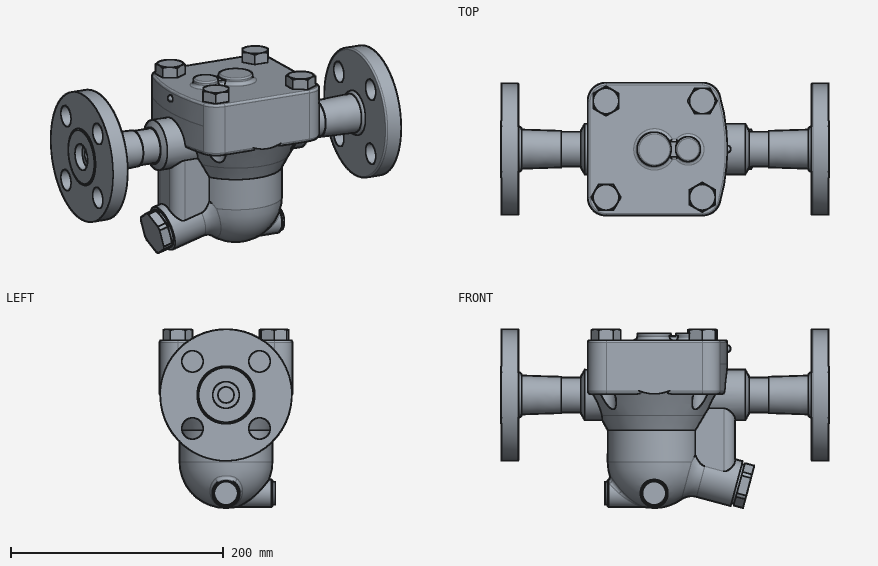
import cadquery as cq
import math


half_length = 154.5
raised_face_height = 0.5
raised_face_tip_dia = 51.3
raised_face_base_dia = 54.5
flange_dia = 124.0
flange_thickness = 16.5
flange_fillet = 1.5
flange_hole_dia = 20.0
flange_hole_offset = 31.5
neck_fillet = 2.8
neck_large_dia = 37.0
neck_small_dia = 34.5
neck_end = 97.3
pipe_dia = 33.0
collar_dia = 48.0
collar_nose_dia = 35.2
collar_nose_end = 79.0
collar_chamfer_end = 75.5
bore_dia = 25.0
bore_depth = 7.7
inner_bore_dia = 15.0
inner_bore_depth = 61.8

hex_half_pitch = 30.0

bolt_spacing = 90.5
bolt_offset = bolt_spacing / 2
bolt_across_flats = 24.0
bolt_top = flange_dia / 2
bolt_relief_dia = 19.2
bolt_relief_depth = 24.7
bolt_chamfer_angle = 30.0

body_x = -10.2
block_width = 125.0
block_half = block_width / 2
block_bottom = 0.5
block_top = 51.5
block_corner_radius = block_half - bolt_offset
bulge_reach = 69.0
bulge_start_angle = 18.0
bulge_draft = 1.2
seam_z = 29.5
block_top_fillet = 2.2
block_bottom_fillet = 3.5

boss_top = 58.0
boss_edge_fillet = 1.5
main_boss_dia = 32.0
main_boss_base_fillet = 3.5
side_boss_dia = 23.5
side_boss_base_fillet = 3.0
side_boss_offset = 31.8
link_width = 14.2
link_base_fillet = 2.5
link_top = 55.5
pin_radius = 3.5
pin_reach = 72.0
pin_z = 43.5

bowl_radius = 44.0
overall_height = 168.5
bowl_bottom = bolt_top - overall_height
bowl_center_z = bowl_bottom + bowl_radius
cone_bottom = -33.0
cone_break_z = -19.2
cone_break_radius = 51.3
cone_top_radius = 64.3

rib_end = 65.8
rib_width = 40.8
rib_corner_radius = 10.8
rib_bottom = -74.2

plug_tilt = 15.0
plug_boss_dia = 44.0
plug_boss_length = 80.3
plug_boss_fillet = 17.0
washer_dia = 38.0
washer_end = 82.8
plug_hex_across_flats = 37.7
plug_hex_dia = 41.5
plug_hex_end = 92.0

drain_z = -92.5
drain_dia = 26.0
drain_length = 44.0
drain_chamfer = 1.2
drain_plug_dia = 22.0
drain_plug_end = 46.5
drain_blend = 3.7


def cylinder_x(dia, length):
    """Cylinder from the origin along +X."""
    return cq.Workplane("YZ").circle(dia / 2).extrude(length)


def corner_dia(across_flats):
    """Diameter through the corners of a hexagon."""
    return across_flats / math.cos(math.pi / 6)


def hex_head(across_flats, height, turn):
    """Hexagon prism from the origin along +Z, its upper corners cut by a cone."""
    prism = cq.Workplane("XY").polygon(6, corner_dia(across_flats)).extrude(height)
    cone_base = across_flats / 2 + height / math.tan(math.radians(bolt_chamfer_angle))
    cone_half = [(0, 0), (cone_base, 0), (across_flats / 2, height), (0, height)]
    cone = cq.Workplane("XZ").polyline(cone_half).close().revolve(360, (0, 0), (0, 1))
    return prism.intersect(cone).rotate((0, 0, 0), (0, 0, 1), turn)


def pipe_end():
    """Flange, weld neck and collar on the +X side."""
    face = half_length - raised_face_height
    back = face - flange_thickness
    neck_start = back - neck_fillet
    neck_r = neck_large_dia / 2
    flange_r = flange_dia / 2
    profile = (
        cq.Workplane("XY")
        .moveTo(0, 0)
        .lineTo(0, collar_dia / 2)
        .lineTo(collar_chamfer_end, collar_dia / 2)
        .lineTo(collar_nose_end, collar_nose_dia / 2)
        .lineTo(collar_nose_end, pipe_dia / 2)
        .lineTo(neck_end, pipe_dia / 2)
        .lineTo(neck_end, neck_small_dia / 2)
        .lineTo(neck_start, neck_r)
        .radiusArc((back, neck_r + neck_fillet), neck_fillet)
        .lineTo(back, flange_r - flange_fillet)
        .radiusArc((back + flange_fillet, flange_r), flange_fillet)
        .lineTo(face, flange_r)
        .lineTo(face, raised_face_base_dia / 2)
        .lineTo(half_length, raised_face_tip_dia / 2)
        .lineTo(half_length, 0)
        .close()
    )
    end = profile.revolve(360, (0, 0), (1, 0))
    spread = 2 * flange_hole_offset
    holes = (
        cq.Workplane("YZ", origin=(back, 0, 0))
        .rect(spread, spread, forConstruction=True)
        .vertices()
        .circle(flange_hole_dia / 2)
        .extrude(flange_thickness)
    )
    bore = cylinder_x(bore_dia, bore_depth).translate((half_length - bore_depth, 0, 0))
    inner = cylinder_x(inner_bore_dia, inner_bore_depth).translate((half_length - inner_bore_depth, 0, 0))
    return end.cut(holes).cut(bore).cut(inner)


def block_outline(sheet, reach):
    """Square outline with rounded corners and a +X side that bulges out to the given reach."""
    start = math.radians(bulge_start_angle)
    diagonal = bolt_offset + block_corner_radius * math.sqrt(0.5)
    corner_mid = (math.pi / 2 + start) / 2
    corner_mid_x = bolt_offset + block_corner_radius * math.cos(corner_mid)
    corner_mid_y = bolt_offset + block_corner_radius * math.sin(corner_mid)
    bulge_x = bolt_offset + block_corner_radius * math.cos(start)
    bulge_y = bolt_offset + block_corner_radius * math.sin(start)
    return (
        sheet.moveTo(-bolt_offset, -block_half)
        .lineTo(bolt_offset, -block_half)
        .threePointArc((corner_mid_x, -corner_mid_y), (bulge_x, -bulge_y))
        .threePointArc((reach, 0), (bulge_x, bulge_y))
        .threePointArc((corner_mid_x, corner_mid_y), (bolt_offset, block_half))
        .lineTo(-bolt_offset, block_half)
        .threePointArc((-diagonal, diagonal), (-block_half, bolt_offset))
        .lineTo(-block_half, -bolt_offset)
        .threePointArc((-diagonal, -diagonal), (-bolt_offset, -block_half))
        .close()
    )


def cover_block():
    """Straight cover over a body flange whose bulge narrows downward from the seam."""
    cover = block_outline(cq.Workplane("XY", origin=(0, 0, seam_z)), bulge_reach)
    cover = cover.extrude(block_top - seam_z)
    lower = block_outline(cq.Workplane("XY", origin=(0, 0, block_bottom)), bulge_reach - bulge_draft)
    lower = block_outline(lower.workplane(offset=seam_z - block_bottom), bulge_reach).loft(ruled=True)
    cover = cover.faces(">Z").edges().fillet(block_top_fillet)
    lower = lower.faces("<Z").edges().fillet(block_bottom_fillet)
    return cover.union(lower)


def round_boss(dia, base_fillet):
    """Round boss with a rounded rim and a flared foot, rooted in the cover down to the seam."""
    r = dia / 2
    profile = (
        cq.Workplane("XZ")
        .moveTo(0, seam_z)
        .lineTo(r + base_fillet, seam_z)
        .lineTo(r + base_fillet, block_top)
        .radiusArc((r, block_top + base_fillet), base_fillet)
        .lineTo(r, boss_top - boss_edge_fillet)
        .radiusArc((r - boss_edge_fillet, boss_top), -boss_edge_fillet)
        .lineTo(0, boss_top)
        .close()
    )
    return profile.revolve(360, (0, 0), (0, 1))


def cover_bosses():
    """Two round bosses joined by a low link."""
    main = round_boss(main_boss_dia, main_boss_base_fillet)
    side = round_boss(side_boss_dia, side_boss_base_fillet).translate((side_boss_offset, 0, 0))
    link = (
        cq.Workplane("XY", origin=(0, 0, block_top))
        .rect(side_boss_offset, link_width)
        .extrude(link_top - block_top)
        .translate((side_boss_offset / 2, 0, 0))
    )
    flare_width = link_width + 2 * link_base_fillet
    flare = (
        cq.Workplane("YZ")
        .moveTo(-flare_width / 2, block_top)
        .radiusArc((-link_width / 2, block_top + link_base_fillet), -link_base_fillet)
        .lineTo(link_width / 2, block_top + link_base_fillet)
        .radiusArc((flare_width / 2, block_top), -link_base_fillet)
        .close()
        .extrude(side_boss_offset)
    )
    return main.union(side).union(link).union(flare)


def bolt_places():
    """Offsets of the four bolts with the turn of each head, which alternates around the cover."""
    places = []
    for side_x in (-1, 1):
        for side_y in (-1, 1):
            turn = hex_half_pitch if side_x != side_y else 0
            places.append((side_x * bolt_offset, side_y * bolt_offset, turn))
    return places


def bowl():
    """Conical shoulder flush with the block, straight wall and round bottom, relieved under the bolts."""
    shape = (
        cq.Workplane("XZ")
        .moveTo(0, bowl_bottom)
        .radiusArc((bowl_radius, bowl_center_z), -bowl_radius)
        .lineTo(bowl_radius, cone_bottom)
        .lineTo(cone_break_radius, cone_break_z)
        .lineTo(cone_top_radius, block_bottom + block_bottom_fillet)
        .lineTo(0, block_bottom + block_bottom_fillet)
        .close()
        .revolve(360, (0, 0), (0, 1))
    )
    clip_height = block_bottom + block_bottom_fillet - bowl_bottom
    clip = cq.Workplane("XY", origin=(0, 0, bowl_bottom)).rect(2 * block_half, 2 * block_half)
    shape = shape.intersect(clip.extrude(clip_height))
    for x, y, _ in bolt_places():
        relief = cq.Workplane("XY", origin=(x, y, block_bottom)).circle(bolt_relief_dia / 2)
        shape = shape.cut(relief.extrude(-bolt_relief_depth))
    return shape


def drain(turn):
    """Capped drain boss, pointing along +X before it is turned about Z."""
    boss = cylinder_x(drain_dia, drain_length).faces(">X").chamfer(drain_chamfer)
    cap = cylinder_x(drain_plug_dia, drain_plug_end)
    return boss.union(cap).translate((0, 0, drain_z)).rotate((0, 0, 0), (0, 0, 1), turn)


def bowl_with_drains():
    """Bowl with two drains, the -X one blended into the bowl."""
    shape = bowl().union(drain(180))
    joint_zone = cq.selectors.BoxSelector(
        (-bowl_radius, -drain_dia, bowl_bottom), (0, drain_dia, bowl_center_z)
    )
    joint = shape.edges(joint_zone).edges("%BSPLINE")
    return joint.fillet(drain_blend).union(drain(-90))


def plug_boss():
    """Tilted boss that blends into the bowl, with its washer and a hex plug with turned corners."""
    r = plug_boss_dia / 2
    blend_to_axis = r + plug_boss_fillet
    blend_to_center = bowl_radius + plug_boss_fillet
    blend_end = math.sqrt(blend_to_center**2 - blend_to_axis**2)
    touch = bowl_radius / blend_to_center
    shape = (
        cq.Workplane("XY")
        .lineTo(0, touch * blend_to_axis)
        .lineTo(touch * blend_end, touch * blend_to_axis)
        .radiusArc((blend_end, r), -plug_boss_fillet)
        .lineTo(plug_boss_length, r)
        .lineTo(plug_boss_length, 0)
        .close()
        .revolve(360, (0, 0), (1, 0))
    )
    washer = cylinder_x(washer_dia, washer_end)
    hex_height = plug_hex_end - washer_end
    hexagon = cq.Workplane("YZ").polygon(6, corner_dia(plug_hex_across_flats)).extrude(hex_height)
    hexagon = hexagon.rotate((0, 0, 0), (1, 0, 0), hex_half_pitch)
    head = hexagon.intersect(cylinder_x(plug_hex_dia, hex_height)).translate((washer_end, 0, 0))
    shape = shape.union(washer).union(head)
    return shape.rotate((0, 0, 0), (0, 1, 0), plug_tilt).translate((0, 0, bowl_center_z))


def rib():
    """Upright rib between the outlet collar and the plug boss."""
    length = rib_end - body_x
    box = cq.Workplane("XY").box(length, rib_width, -rib_bottom, centered=(False, True, False))
    return box.edges("|Z and >X").fillet(rib_corner_radius).translate((0, 0, rib_bottom))


def body():
    """Everything that sits on the body axis, built around X = 0."""
    shape = bowl_with_drains().union(plug_boss()).union(rib())
    shape = shape.union(cover_block()).union(cover_bosses())
    for x, y, turn in bolt_places():
        head = hex_head(bolt_across_flats, bolt_top - block_top, turn)
        shape = shape.union(head.translate((x, y, block_top)))
    pin = cq.Workplane("XY").sphere(pin_radius).translate((pin_reach - pin_radius, 0, pin_z))
    return shape.union(pin)


outlet = pipe_end()
inlet = outlet.mirror("YZ")
result = body().translate((body_x, 0, 0)).union(outlet).union(inlet)